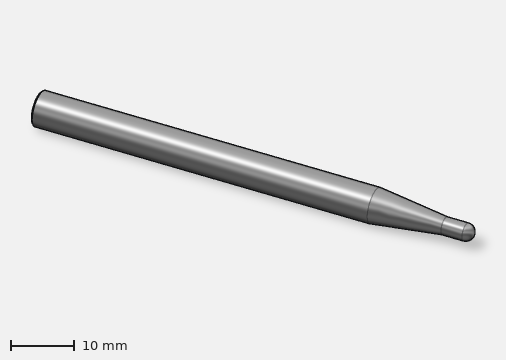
import cadquery as cq

overall_length = 75.0
shank_diameter = 6.0
tip_diameter = 3.0
cone_length = 12.0
tip_length = 5.1
rear_chamfer = 0.3

shank_radius = shank_diameter / 2
tip_radius = tip_diameter / 2

cone_end = overall_length - tip_length
cone_start = cone_end - cone_length
ball_center = overall_length - tip_radius

half_profile = (
    cq.Workplane("XY")
    .moveTo(0, 0)
    .lineTo(0, shank_radius - rear_chamfer)
    .lineTo(rear_chamfer, shank_radius)
    .lineTo(cone_start, shank_radius)
    .lineTo(cone_end, tip_radius)
    .lineTo(ball_center, tip_radius)
    .tangentArcPoint((overall_length, 0), relative=False)
    .close()
)

result = half_profile.revolve(360, (0, 0, 0), (1, 0, 0))